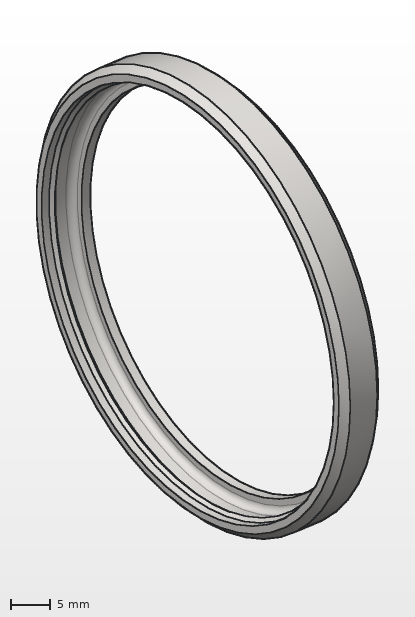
import cadquery as cq

outer_radius = 32.0
width = 6.4
outer_chamfer = 1.0
bore_radius = 28.0

recess_radius = 29.9
flange_thickness = 1.5
corner_fillet = 1.0

ridge_height = 0.5
ridge_setback = 1.7

front = -width / 2
back = width / 2
flange_face = back - flange_thickness
ridge_crest = front + ridge_setback


def ring_blank():
    """Plain ring with both outer edges chamfered."""
    disc = cq.Workplane("XZ", origin=(0, back, 0)).circle(outer_radius).extrude(width)
    return disc.faces("<Y or >Y").chamfer(outer_chamfer).cut(bore())


def bore():
    return cq.Workplane("XZ", origin=(0, back, 0)).circle(bore_radius).extrude(width)


def recess():
    """Recess with a rounded inner corner."""
    depth = flange_face - front
    disc = cq.Workplane("XZ", origin=(0, flange_face, 0)).circle(recess_radius).extrude(depth)
    return disc.edges(">Y").fillet(corner_fillet)


def snap_ridge():
    """Triangular ridge whose base is sunk into the recess wall."""
    sunk = ridge_height / 2
    half_base = ridge_height + sunk
    base_radius = recess_radius + sunk
    return (
        cq.Workplane("XY")
        .moveTo(base_radius, ridge_crest - half_base)
        .lineTo(recess_radius - ridge_height, ridge_crest)
        .lineTo(base_radius, ridge_crest + half_base)
        .close()
        .revolve(360, (0, 0, 0), (0, 1, 0))
    )


result = ring_blank().cut(recess()).union(snap_ridge())